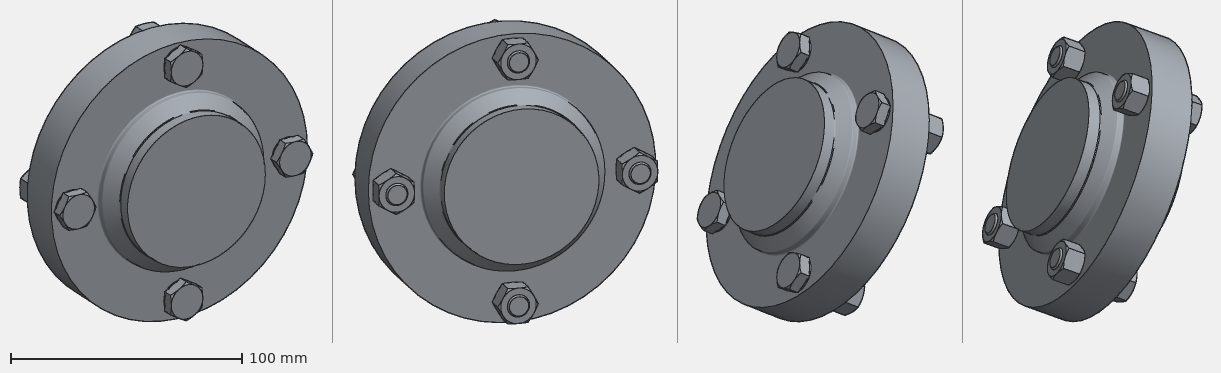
import cadquery as cq
import math


overall_length = 48.0
pipe_radius = 35.0
collar_radius = 41.1
flange_radius = 65.0
flange_half_width = 10.0
cone_small_end = 18.1
cone_large_end = 13.0
cone_edge_radius = 0.6
collar_root_radius = 0.6

bolt_count = 4
bolt_circle_radius = 55.0
bolt_diameter = 10.0
bolt_end = 20.3
bolt_end_chamfer_length = 0.9
bolt_end_chamfer_depth = 0.6
across_flats = 16.0
across_corners = across_flats / math.cos(math.radians(30))
nut_height = 9.4
washer_face_height = 0.8
head_height = 5.5
hex_chamfer_angle = 30


def make_flange():
    """Plain disc centred on the mid plane."""
    return (
        cq.Workplane("YZ", origin=(-flange_half_width, 0, 0))
        .circle(flange_radius)
        .extrude(2 * flange_half_width)
    )


def make_pipe_end():
    """Collar, cone and pipe stub, standing on the +X face of the flange."""
    half_length = overall_length / 2
    root_end = flange_half_width + collar_root_radius
    root_radius = collar_radius + collar_root_radius
    profile = (
        cq.Workplane("XY")
        .moveTo(half_length, 0)
        .lineTo(flange_half_width, 0)
        .lineTo(flange_half_width, root_radius)
        .radiusArc((root_end, collar_radius), -collar_root_radius)
        .lineTo(cone_large_end, collar_radius)
        .lineTo(cone_small_end, pipe_radius)
        .lineTo(half_length, pipe_radius)
        .close()
    )
    pipe_end = profile.revolve(360, (0, 0, 0), (1, 0, 0))
    margin = cone_edge_radius
    cone_edges = cq.selectors.BoxSelector(
        (cone_large_end - margin, -flange_radius, -flange_radius),
        (cone_small_end + margin, flange_radius, flange_radius),
    )
    return pipe_end.edges(cone_edges).edges("%CIRCLE").fillet(cone_edge_radius)


def make_hexagon(start, height, turn):
    """Hexagonal prism along X; with turn = 0 two corners point along Y."""
    return (
        cq.Workplane("YZ", origin=(start, 0, 0))
        .polygon(6, across_corners)
        .extrude(height)
        .rotate((0, 0, 0), (1, 0, 0), turn)
    )


def make_chamfer_blank(start, height, chamfer_start):
    """Round blank trimming the hexagon corners at its +X end, and optionally at its start."""
    face_radius = across_flats / 2
    corner_radius = across_corners / 2
    depth = (corner_radius - face_radius) * math.tan(math.radians(hex_chamfer_angle))
    end = start + height
    points = [(start, 0)]
    if chamfer_start:
        points += [(start, face_radius), (start + depth, corner_radius)]
    else:
        points += [(start, corner_radius)]
    points += [(end - depth, corner_radius), (end, face_radius), (end, 0)]
    return cq.Workplane("XY").polyline(points).close().revolve(360, (0, 0, 0), (1, 0, 0))


def make_fastener():
    """Bolt with its nut on the -X side, standing on the X axis."""
    nut_start = -flange_half_width - nut_height
    nut = make_hexagon(nut_start, nut_height, 0)
    nut = nut.intersect(make_chamfer_blank(nut_start, nut_height, True))

    head_start = flange_half_width + washer_face_height
    head = make_hexagon(head_start, head_height, 90)
    head = head.intersect(make_chamfer_blank(head_start, head_height, False))

    washer_face = (
        cq.Workplane("YZ", origin=(flange_half_width, 0, 0))
        .circle(across_flats / 2)
        .extrude(washer_face_height)
    )
    shank = (
        cq.Workplane("YZ", origin=(-bolt_end, 0, 0))
        .circle(bolt_diameter / 2)
        .extrude(bolt_end + head_start)
        .faces("<X")
        .chamfer(bolt_end_chamfer_length, bolt_end_chamfer_depth)
    )
    return shank.union(nut).union(washer_face).union(head)


pipe_end = make_pipe_end()
result = make_flange().union(pipe_end).union(pipe_end.mirror("YZ"))

top_fastener = make_fastener().translate((0, 0, bolt_circle_radius))
for index in range(bolt_count):
    angle = index * 360 / bolt_count
    result = result.union(top_fastener.rotate((0, 0, 0), (1, 0, 0), angle))